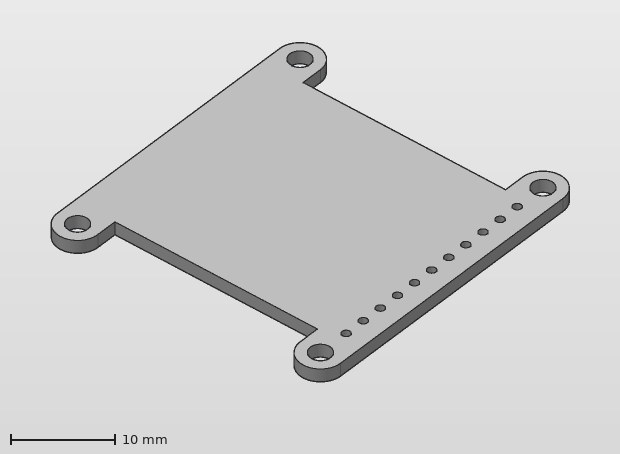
import cadquery as cq

length = 38.1
thickness = 1.6
mount_hole_diameter = 2.5
pin_hole_diameter = 1.0
pin_count = 11

length_pitches = 15
strip_width_pitches = 2
mount_spacing_pitches = 12
panel_length_pitches = 11
pitch = length / length_pitches
strip_width = strip_width_pitches * pitch
mount_spacing_x = mount_spacing_pitches * pitch
mount_spacing_y = length - strip_width
panel_length = panel_length_pitches * pitch
strip_x = mount_spacing_x / 2


def side_strip(x):
    """Full-length strip with round ends, centred at the given X."""
    return (
        cq.Workplane("XY")
        .center(x, 0)
        .slot2D(length, strip_width, 90)
        .extrude(thickness)
    )


board = cq.Workplane("XY").box(
    mount_spacing_x, panel_length, thickness, centered=(True, True, False)
)
for x in (-strip_x, strip_x):
    board = board.union(side_strip(x))

mount_holes = (
    cq.Workplane("XY")
    .rect(mount_spacing_x, mount_spacing_y, forConstruction=True)
    .vertices()
    .circle(mount_hole_diameter / 2)
    .extrude(thickness)
)

pin_holes = (
    cq.Workplane("XY")
    .center(strip_x, 0)
    .rarray(pitch, pitch, 1, pin_count)
    .circle(pin_hole_diameter / 2)
    .extrude(thickness)
)

result = board.cut(mount_holes).cut(pin_holes)